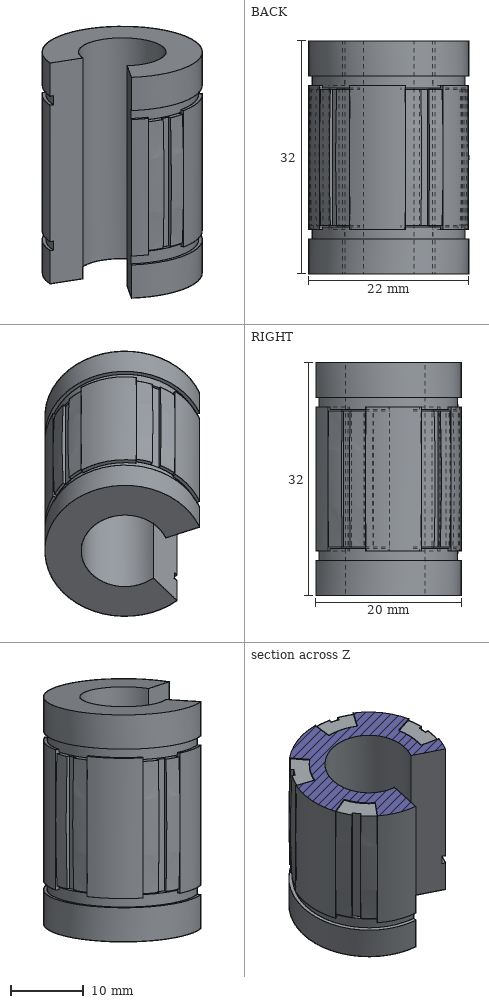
import cadquery as cq
import math


length = 32.0
outer_radius = 11.0
bore_radius = 6.0
opening_half_angle = 35.35
cutter_margin = 5.0

groove_radius = 10.5
groove_width = 1.3
groove_outer_z = 11.18
groove_inner_z = groove_outer_z - groove_width

circuit_count = 4
circuit_pitch = 72.0
first_circuit_angle = 80.6
window_half_angle = 15.3
window_end_z = 9.53
end_gap_floor_radius = 8.2
plate_end_z = 9.32
plate_crown_end_z = 3.94
plate_mid_radius = 11.0
plate_shoulder_radius = 10.96
plate_end_radius = 10.8

slot_width = 1.22
slot_floor_radius = 10.35


def direction(angle, radius):
    """XY point at the given angle and radius."""
    turn = math.radians(angle)
    return (-radius * math.sin(turn), -radius * math.cos(turn))


def wedge(start_angle, end_angle):
    """Pie-shaped prism, taller and wider than the sleeve, less than half a turn wide."""
    reach = (outer_radius + cutter_margin) / math.cos(math.radians(end_angle - start_angle) / 2)
    height = length + 2 * cutter_margin
    return (
        cq.Workplane("XY", origin=(0, 0, -height / 2))
        .moveTo(0, 0)
        .lineTo(*direction(start_angle, reach))
        .lineTo(*direction(end_angle, reach))
        .close()
        .extrude(height)
    )


def ring(inner_radius, bottom_z, top_z):
    """Annular cutter from the given radius out past the sleeve."""
    return (
        cq.Workplane("XY", origin=(0, 0, bottom_z))
        .circle(outer_radius + cutter_margin)
        .circle(inner_radius)
        .extrude(top_z - bottom_z)
    )


def mirrored_rings(inner_radius, low_z, high_z):
    """The same annular cutter above and below the middle of the sleeve."""
    return ring(inner_radius, low_z, high_z).union(ring(inner_radius, -high_z, -low_z))


def plate_relief():
    """Ring of material lying outside the crowned profile of the bearing plates."""
    clear_radius = outer_radius + cutter_margin
    return (
        cq.Workplane("XZ")
        .moveTo(clear_radius, -plate_end_z)
        .lineTo(plate_end_radius, -plate_end_z)
        .lineTo(plate_shoulder_radius, -plate_crown_end_z)
        .threePointArc((plate_mid_radius, 0), (plate_shoulder_radius, plate_crown_end_z))
        .lineTo(plate_end_radius, plate_end_z)
        .lineTo(clear_radius, plate_end_z)
        .close()
        .revolve(360, (0, 0, 0), (0, 1, 0))
    )


def window_cutter():
    """Everything removed inside a window, as full rings before trimming to its angle."""
    ledges = mirrored_rings(groove_radius, window_end_z, groove_inner_z)
    end_gaps = mirrored_rings(end_gap_floor_radius, plate_end_z, window_end_z)
    return plate_relief().union(ledges).union(end_gaps)


def plate_slot(angle):
    """Lengthwise slot cutter in the middle of the plate at the given angle."""
    return (
        cq.Workplane("XY")
        .box(slot_width, cutter_margin, 2 * plate_end_z)
        .translate((0, -slot_floor_radius - cutter_margin / 2, 0))
        .rotate((0, 0, 0), (0, 0, 1), -angle)
    )


sleeve = (
    cq.Workplane("XY", origin=(0, 0, -length / 2))
    .circle(outer_radius)
    .circle(bore_radius)
    .extrude(length)
    .cut(wedge(-opening_half_angle, opening_half_angle))
)

result = sleeve.cut(mirrored_rings(groove_radius, groove_inner_z, groove_outer_z))

window_rings = window_cutter()
for index in range(circuit_count):
    circuit_angle = first_circuit_angle + index * circuit_pitch
    window = wedge(circuit_angle - window_half_angle, circuit_angle + window_half_angle)
    result = result.cut(window_rings.intersect(window))
    result = result.cut(plate_slot(circuit_angle))